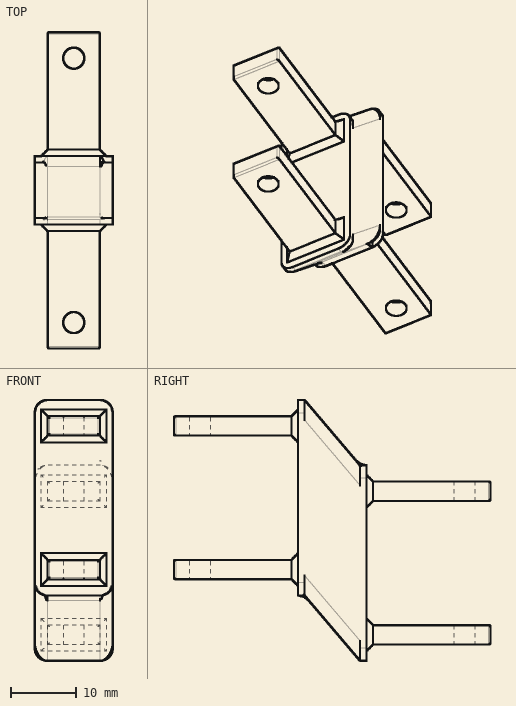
import cadquery as cq

width = 12.0
body_depth = 10.5
overall_height = 40.0
flange_height = 30.0
flange_thickness = 1.0
corner_radius = 2.0
inner_bend_radius = 2.0
outer_bend_radius = 0.5

arm_width = 8.0
arm_thickness = 3.0
arm_reach = 19.0
arm_edge_inset = 4.0
arm_spacing = flange_height - 2 * arm_edge_inset
end_radius = 0.3
collar_length = 1.0
hole_diameter = 3.2
hole_end_distance = 4.0

front_y = -body_depth / 2
flange_inner_y = front_y + flange_thickness
top_z = overall_height / 2
flange_bottom_z = top_z - flange_height
edge_tolerance = 0.02


def half_turn(shape):
    """Turn a shape 180 degrees about the X axis, carrying the front to the rear."""
    return shape.rotate((0, 0, 0), (1, 0, 0), 180)


def extrude_across(outline):
    """Extrude a side outline of (y, z) points over the full width."""
    return cq.Workplane("YZ").polyline(outline).close().extrude(width / 2, both=True)


def round_bends(body, front_z, radius):
    """Round the front bend at height front_z and its half-turned twin at the rear."""
    reach = width / 2 + edge_tolerance
    for side in (1, -1):
        y = side * flange_inner_y
        z = side * front_z
        bend_box = cq.selectors.BoxSelector(
            (-reach, y - edge_tolerance, z - edge_tolerance),
            (reach, y + edge_tolerance, z + edge_tolerance),
        )
        body = body.edges(bend_box).fillet(radius)
    return body


def make_flange(side):
    """Upright plate with rounded corners: side 1 is the front flange, -1 the rear one."""
    flange_middle_y = front_y + flange_thickness / 2
    flange_middle_z = top_z - flange_height / 2
    return (
        cq.Workplane("XY")
        .box(width, flange_thickness, flange_height)
        .edges("|Y")
        .fillet(corner_radius)
        .translate((0, side * flange_middle_y, side * flange_middle_z))
    )


def make_core():
    """Sloping core between the flanges, rounded along its four sloping edges."""
    outline = [
        (flange_inner_y, top_z),
        (-flange_inner_y, -flange_bottom_z),
        (-flange_inner_y, -top_z),
        (flange_inner_y, flange_bottom_z),
    ]
    core = extrude_across(outline)
    return core.faces("<X or >X").edges("not |Z").fillet(corner_radius)


def make_envelope():
    """Full-width side profile of the body, with its outer bends rounded."""
    rear_half = [
        (-flange_inner_y, -flange_bottom_z),
        (-front_y, -flange_bottom_z),
        (-front_y, -top_z),
        (-flange_inner_y, -top_z),
    ]
    front_half = [(-y, -z) for y, z in rear_half]
    return round_bends(extrude_across(rear_half + front_half), top_z, outer_bend_radius)


def make_body():
    """Flanges and core joined, with the bends between them rounded."""
    joined = make_core().union(make_flange(1)).union(make_flange(-1))
    body = joined.intersect(make_envelope())
    return round_bends(body, flange_bottom_z, inner_bend_radius)


def make_arm(z):
    """Front arm at height z, with its collar, rounded end edges and upright hole."""
    arm = (
        cq.Workplane("XZ", origin=(0, front_y, z))
        .rect(arm_width, arm_thickness)
        .extrude(arm_reach)
        .faces("<Y")
        .edges()
        .fillet(end_radius)
    )
    collar = (
        cq.Workplane("XZ", origin=(0, front_y, z))
        .rect(arm_width + 2 * collar_length, arm_thickness + 2 * collar_length)
        .workplane(offset=collar_length)
        .rect(arm_width, arm_thickness)
        .loft(ruled=True)
    )
    hole = (
        cq.Workplane("XY", origin=(0, front_y - arm_reach + hole_end_distance, z))
        .circle(hole_diameter / 2)
        .extrude(arm_thickness, both=True)
    )
    return arm.union(collar).cut(hole)


result = make_body()
upper_arm_z = top_z - arm_edge_inset
for arm_z in (upper_arm_z, upper_arm_z - arm_spacing):
    arm = make_arm(arm_z)
    result = result.union(arm).union(half_turn(arm))